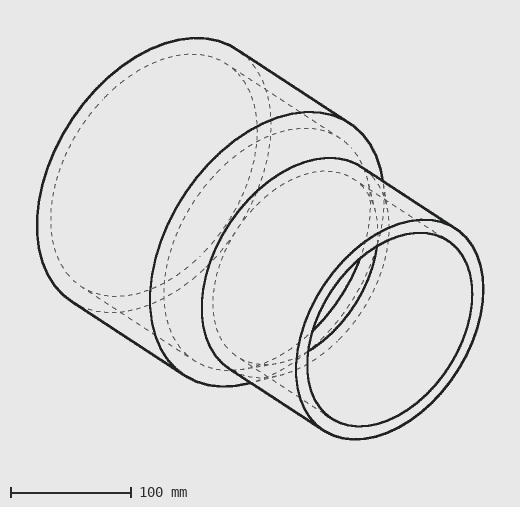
import cadquery as cq

total_length = 310.0
wide_length = 148.8
narrow_length = 124.0
wide_outer_diameter = 250.0
wide_bore_diameter = 220.5
narrow_outer_diameter = 200.0
narrow_bore_diameter = 176.0

cone_start = wide_length
cone_end = total_length - narrow_length


def stepped_solid(wide_diameter, narrow_diameter):
    """Two coaxial cylinders joined by a cone, revolved about the X axis."""
    return (
        cq.Workplane("XY")
        .moveTo(0, 0)
        .lineTo(0, wide_diameter / 2)
        .lineTo(cone_start, wide_diameter / 2)
        .lineTo(cone_end, narrow_diameter / 2)
        .lineTo(total_length, narrow_diameter / 2)
        .lineTo(total_length, 0)
        .close()
        .revolve(360, (0, 0, 0), (1, 0, 0))
    )


body = stepped_solid(wide_outer_diameter, narrow_outer_diameter)
bore = stepped_solid(wide_bore_diameter, narrow_bore_diameter)

result = body.cut(bore)